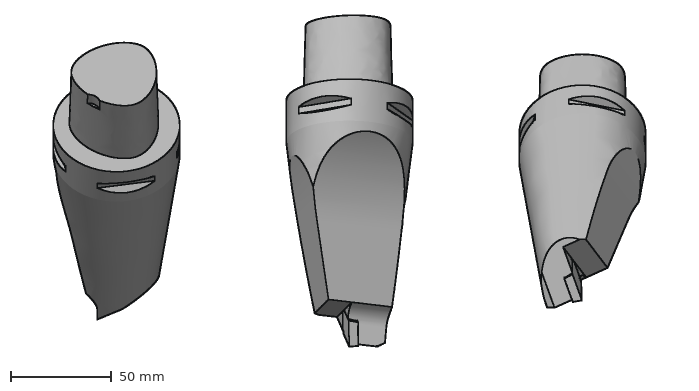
import cadquery as cq
import math


SHANK_LENGTH = 38.0
SHANK_BASE_RADIUS = 22.2
SHANK_TAPER = 1 / 40
LOBE_ECCENTRICITY = 1.3
LOBE_POINTS = 48
KEY_WIDTH = 7.7
KEY_INSET = 1.3
KEY_HEIGHT = 6.4

FLANGE_RADIUS = 63.0 / 2
FLANGE_HEIGHT = 22.0
GROOVE_COUNT = 4
GROOVE_DEPTH = 3.5
GROOVE_Z = -12.0
GROOVE_FLOOR_HALF_HEIGHT = 1.7
GROOVE_MOUTH_HALF_HEIGHT = 3.9

TIP_Z = SHANK_LENGTH - 168
CONE_SLOPE = 0.117
RELIEF_START = (-32.0, -25.9)
RELIEF_TANGENT = (-9.9, -69.0)
RELIEF_CORNER = (-3.7, -107.9)
NECK_TOP = (2.5, -116.6)
NECK_BOTTOM = (1.3, TIP_Z - 1.7)
BACK_START = (32.0, -28.5)
BACK_TANGENT = (22.8, -58.1)
BACK_BOTTOM = (7.4, -131.0)
CLEAR = 67.2

NOSE_LOWER_END = (2.0, -127.3)
NOSE_UPPER_END = (22.0, -104.7)
STEP_Z = RELIEF_CORNER[1]
NOSE_CHAMFER_HEIGHT = 1.0
NOSE_CHAMFER_START_Y = -15.1
NOSE_CHAMFER_WIDTH = 2.7

INSERT_THICKNESS = 5.0
INSERT_RELIEF_ANGLE = 5.0
INSERT_TIP = (0.5, TIP_Z)
INSERT_SIDE_TOP = (1.2, -116.0)

nose_run = NOSE_UPPER_END[0] - NOSE_LOWER_END[0]
nose_rise = NOSE_UPPER_END[1] - NOSE_LOWER_END[1]
nose_angle = math.atan2(nose_rise, nose_run)


def lobed_outline(radius, z):
    def point(turn):
        angle = 2 * math.pi * turn
        e = LOBE_ECCENTRICITY
        across = radius * math.sin(angle) + 2 * e * math.sin(2 * angle) + e * math.sin(4 * angle)
        along = radius * math.cos(angle) - 2 * e * math.cos(2 * angle) + e * math.cos(4 * angle)
        return cq.Vector(across, -along, z)

    points = [point(i / LOBE_POINTS) for i in range(LOBE_POINTS)]
    return cq.Wire.assembleEdges([cq.Edge.makeSpline(points, periodic=True)])


def make_shank():
    top_radius = SHANK_BASE_RADIUS - SHANK_TAPER * SHANK_LENGTH
    shank = cq.Solid.makeLoft([lobed_outline(SHANK_BASE_RADIUS, 0), lobed_outline(top_radius, SHANK_LENGTH)])
    key_radius = ((KEY_WIDTH / 2) ** 2 + KEY_INSET ** 2) / (2 * KEY_INSET)
    flat_side_y = -(top_radius - LOBE_ECCENTRICITY)
    key = (
        cq.Workplane("XY", origin=(0, flat_side_y + KEY_INSET - key_radius, SHANK_LENGTH - KEY_HEIGHT))
        .circle(key_radius)
        .extrude(KEY_HEIGHT)
    )
    key_slab = cq.Workplane("XY").box(KEY_WIDTH, CLEAR, CLEAR * 2)
    return cq.Workplane(shank).cut(key.intersect(key_slab))


def make_flange():
    flange = cq.Workplane("XY").circle(FLANGE_RADIUS).extrude(-FLANGE_HEIGHT)
    floor = FLANGE_RADIUS - GROOVE_DEPTH
    groove = (
        cq.Workplane("XZ")
        .polyline([
            (floor, GROOVE_Z - GROOVE_FLOOR_HALF_HEIGHT),
            (FLANGE_RADIUS, GROOVE_Z - GROOVE_MOUTH_HALF_HEIGHT),
            (FLANGE_RADIUS, GROOVE_Z + GROOVE_MOUTH_HALF_HEIGHT),
            (floor, GROOVE_Z + GROOVE_FLOOR_HALF_HEIGHT),
        ])
        .close()
        .extrude(FLANGE_RADIUS, both=True)
    )
    step = 360 / GROOVE_COUNT
    for i in range(GROOVE_COUNT):
        flange = flange.cut(groove.rotate((0, 0, 0), (0, 0, 1), step * (i + 0.5)))
    return flange


def side_relief():
    """Long hollow on -X, ending in the round notch and flat face beside the insert."""
    return (
        cq.Workplane("XZ")
        .moveTo(*RELIEF_CORNER)
        .lineTo(*RELIEF_TANGENT)
        .tangentArcPoint(RELIEF_START, relative=False)
        .lineTo(-CLEAR, RELIEF_START[1])
        .lineTo(-CLEAR, NECK_BOTTOM[1])
        .lineTo(*NECK_BOTTOM)
        .lineTo(*NECK_TOP)
        .tangentArcPoint(RELIEF_CORNER, relative=False)
        .close()
        .extrude(CLEAR, both=True)
    )


def back_relief():
    """Steep trim on +Y that blends into the cone with a large arc."""
    return (
        cq.Workplane("YZ")
        .moveTo(*BACK_BOTTOM)
        .lineTo(*BACK_TANGENT)
        .tangentArcPoint(BACK_START, relative=False)
        .lineTo(CLEAR, BACK_START[1])
        .lineTo(CLEAR, BACK_BOTTOM[1])
        .close()
        .extrude(CLEAR, both=True)
    )


def nose_underside():
    """Everything below the slanted underside, with the chamfer on its -Y edge."""
    slant = cq.Plane(
        origin=(NOSE_LOWER_END[0], 0, NOSE_LOWER_END[1]),
        xDir=(0, 1, 0),
        normal=(math.cos(nose_angle), 0, math.sin(nose_angle)),
    )
    chamfer_rise = NOSE_CHAMFER_HEIGHT / NOSE_CHAMFER_WIDTH * (CLEAR + NOSE_CHAMFER_START_Y)
    return (
        cq.Workplane(slant)
        .polyline([
            (CLEAR, 0),
            (NOSE_CHAMFER_START_Y, 0),
            (-CLEAR, chamfer_rise),
            (-CLEAR, -CLEAR),
            (CLEAR, -CLEAR),
        ])
        .close()
        .extrude(CLEAR, both=True)
    )


def make_head():
    length = -FLANGE_HEIGHT - TIP_Z
    head = cq.Workplane(
        cq.Solid.makeCone(
            FLANGE_RADIUS - CONE_SLOPE * length, FLANGE_RADIUS, length, pnt=cq.Vector(0, 0, TIP_Z)
        )
    )
    below_step = (
        cq.Workplane("XY", origin=(0, 0, STEP_Z))
        .rect(2 * CLEAR, CLEAR)
        .extrude(-CLEAR)
        .translate((0, CLEAR / 2, 0))
    )
    return head.cut(side_relief()).cut(back_relief()).cut(below_step).cut(nose_underside())


def make_insert():
    """Plate whose rake face lies on Y = 0; its sides lean inward toward -Y."""
    side = math.dist(INSERT_TIP, INSERT_SIDE_TOP)
    run = side * math.cos(nose_angle)
    rise = side * math.sin(nose_angle)
    lower_end = (INSERT_TIP[0] + run, INSERT_TIP[1] + rise)
    far_corner = (INSERT_SIDE_TOP[0] + run, INSERT_SIDE_TOP[1] + rise)
    plate = (
        cq.Workplane("XZ")
        .polyline([INSERT_TIP, lower_end, far_corner, INSERT_SIDE_TOP])
        .close()
        .extrude(INSERT_THICKNESS, taper=INSERT_RELIEF_ANGLE)
    )
    above_step = cq.Workplane("XY", origin=(0, 0, STEP_Z)).rect(2 * CLEAR, 2 * CLEAR).extrude(CLEAR)
    return plate.cut(above_step)


insert = make_insert()
holder = make_flange().union(make_shank()).union(make_head()).cut(insert)

result = cq.Compound.makeCompound([holder.val(), insert.val()])